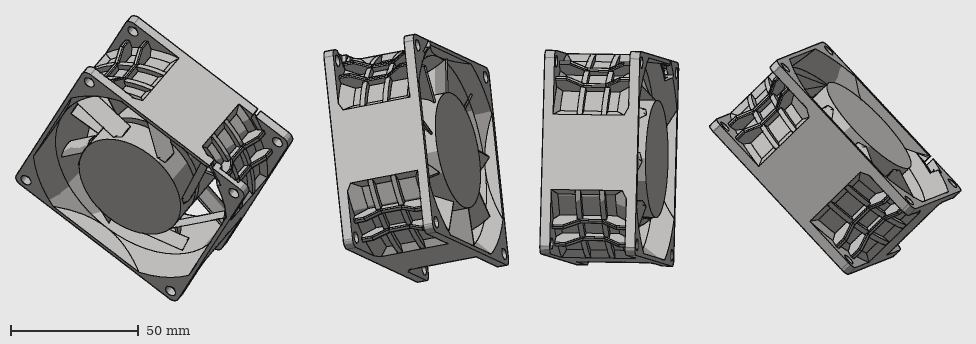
import cadquery as cq
import math

SPIN_ANGLE = 22.0
TIP_ANGLE = -2.8

SIDE = 80.0
DEPTH = 38.0
CORNER_RADIUS = 3.0
FLANGE = 4.0
HOLE_PITCH = 71.5
HOLE_DIAMETER = 4.5

THROAT_RADIUS = 38.4
FLARE_RADIUS = 43.9
FRONT_FLARE = 8.0
REAR_FLARE = 5.2
DUCT_WALL = 2.0
FLARE_SHIFT = 0.9

POCKET_START = 14.8
POCKET_DRAFT = 27.0
POCKET_INSET = 8.3
RIB_RADIUS = 42.5
RIB_WIDTH = 2.1
RIB_PLACES = [-5.2, 4.5]
WING_OFFSET = 4.6
WING_THICKNESS = 2.1
WING_INNER = 39.3
WING_MIDDLE = 42.7
WING_OUTER = 46.2
WING_MIDDLE_HALF = 4.4
WING_OUTER_HALF = 10.6
WING_CHAMFER = 0.4

SLOT_LIP = [21.7, 23.1]
SLOT_INNER_START = [21.7, 37.8]
SLOT_INNER_END = [28.2, 33.4]
SLOT_OUTER_END = [29.8, 34.6]
SLOT_RECESS_END = [25.0, 30.0]
SLOT_RECESS_START = [16.6, 38.4]
FRONT_TAB = 1.0
REAR_TAB = 2.9
NOTCH_DEPTH = 1.7
NOTCH_POINTS = [[25.6, 40.0], [28.3, 33.4], [34.9, 40.0]]

BASE_RADIUS = 23.0
BASE_HEIGHT = 11.5
VANE_COUNT = 7
VANE_FIRST_ANGLE = 20.0
VANE_OFFSET = 22.6
VANE_LEAN = [-0.3, -1.7]
VANE_CHORD = 8.7
VANE_THICKNESS = 0.8
VANE_RUN = 28.1
VANE_START = 6.2
VANE_SLOPE = 0.4

HUB_RADIUS = 23.0
HUB_FRONT = -4.8
ROTOR_REAR = 17.7
BLADE_COUNT = 9
BLADE_FIRST_ANGLE = 12.3
BLADE_RADIUS = 37.7
BLADE_WIDTH = 12.1
BLADE_THICKNESS = 0.8
BLADE_CAMBER = 1.6
BLADE_FRONT = -1.6
BLADE_REAR = 16.1

HALF_SIDE = SIDE / 2
HALF_DEPTH = DEPTH / 2
POCKET_HALF = HALF_DEPTH - FLANGE
DUCT_RADIUS = THROAT_RADIUS + DUCT_WALL


def plate(outline, start, end):
    """Solid with an outline of (x, z) points that spans from y = start to y = end."""
    return cq.Workplane("XZ", origin=(0, start, 0)).polyline(outline).close().extrude(start - end)


def disc(radius, start, end):
    return cq.Workplane("XZ", origin=(0, start, 0)).circle(radius).extrude(start - end)


def turned(body, angle):
    """Turn a body about the fan axis, from +X toward +Z."""
    return body.rotate((0, 0, 0), (0, 1, 0), -angle)


def revolved(outline):
    """Revolve an outline of (radius, y) points about the fan axis."""
    return cq.Workplane("XY").polyline(outline).close().revolve(360, (0, 0, 0), (0, 1, 0))


def duct_volume(radius, shift):
    """Throat with its two flares; shift moves the start of both flares toward the faces."""
    front_slope = (FLARE_RADIUS - THROAT_RADIUS) / FRONT_FLARE
    rear_slope = (FLARE_RADIUS - THROAT_RADIUS) / REAR_FLARE
    front_start = -HALF_DEPTH + FRONT_FLARE + shift
    rear_start = HALF_DEPTH - REAR_FLARE - shift
    return revolved([
        (0, -HALF_DEPTH),
        (radius + front_slope * (front_start + HALF_DEPTH), -HALF_DEPTH),
        (radius, front_start),
        (radius, rear_start),
        (radius + rear_slope * (HALF_DEPTH - rear_start), HALF_DEPTH),
        (0, HALF_DEPTH),
    ])


def make_block():
    block = cq.Workplane("XY").box(SIDE, DEPTH, SIDE)
    return block.edges("|Y").fillet(CORNER_RADIUS)


def corner_pocket():
    """Drafted pocket at the (+X, +Z) corner, down to the outside of the duct."""
    inset = POCKET_INSET
    rise = inset * math.tan(math.radians(POCKET_DRAFT))
    outline = [
        (HALF_SIDE, HALF_SIDE),
        (HALF_SIDE, POCKET_START),
        (HALF_SIDE - inset, POCKET_START + rise),
        (POCKET_START + rise, HALF_SIDE - inset),
        (POCKET_START, HALF_SIDE),
    ]
    pocket = plate(outline, -POCKET_HALF, POCKET_HALF).cut(duct_volume(DUCT_RADIUS, FLARE_SHIFT))
    for place in RIB_PLACES:
        pocket = pocket.cut(disc(RIB_RADIUS, place - RIB_WIDTH / 2, place + RIB_WIDTH / 2))
    return pocket


def wing_pair():
    """Two plates between the flanges, parallel to the diagonal of the (+X, +Z) corner."""
    outline = [
        (WING_INNER, -POCKET_HALF),
        (WING_OUTER, -POCKET_HALF),
        (WING_OUTER, -WING_OUTER_HALF),
        (WING_MIDDLE, -WING_MIDDLE_HALF),
        (WING_MIDDLE, WING_MIDDLE_HALF),
        (WING_OUTER, WING_OUTER_HALF),
        (WING_OUTER, POCKET_HALF),
        (WING_INNER, POCKET_HALF),
    ]
    wing = cq.Workplane("XY").polyline(outline).close().extrude(WING_THICKNESS / 2, both=True)
    beyond_duct = cq.selectors.BoxSelector(
        (WING_MIDDLE - 1, -POCKET_HALF + 1, -WING_THICKNESS),
        (WING_OUTER + 1, POCKET_HALF - 1, WING_THICKNESS),
    )
    wing = wing.faces("|Z").edges(beyond_duct).chamfer(WING_CHAMFER)
    pair = wing.translate((0, 0, WING_OFFSET)).union(wing.translate((0, 0, -WING_OFFSET)))
    return turned(pair, 45)


def cable_slots():
    """Cable slot at the (+X, +Z) corner, with a recess beside it that leaves a thin tab."""
    slot_outline = [
        (SLOT_LIP[0], HALF_SIDE),
        SLOT_INNER_START,
        SLOT_INNER_END,
        SLOT_OUTER_END,
        (SLOT_LIP[1], HALF_SIDE),
    ]
    recess_outline = [SLOT_INNER_START, SLOT_INNER_END, SLOT_RECESS_END, SLOT_RECESS_START]
    front = -POCKET_HALF
    rear = POCKET_HALF
    slots = plate(slot_outline, -HALF_DEPTH, front)
    slots = slots.union(plate(slot_outline, rear, HALF_DEPTH))
    slots = slots.union(plate(recess_outline, -HALF_DEPTH, front - FRONT_TAB))
    slots = slots.union(plate(recess_outline, rear + REAR_TAB, HALF_DEPTH))
    return slots.union(plate(NOTCH_POINTS, front - NOTCH_DEPTH, front))


def make_vane():
    """Curved ribbon that runs past the fan axis and slopes toward the rear as it goes out."""
    rear = -HALF_DEPTH + VANE_CHORD
    half = VANE_THICKNESS / 2
    middle_shift, front_shift = VANE_LEAN
    middle = rear - VANE_CHORD / 2
    ribbon = (
        cq.Workplane("YZ", origin=(-VANE_START, 0, 0))
        .moveTo(rear, VANE_OFFSET)
        .threePointArc((middle, VANE_OFFSET + middle_shift + half), (-HALF_DEPTH, VANE_OFFSET + front_shift))
        .threePointArc((middle, VANE_OFFSET + middle_shift - half), (rear, VANE_OFFSET))
        .close()
    )
    run = cq.Vector(-VANE_RUN, VANE_SLOPE * VANE_RUN, 0)
    vane = cq.Workplane(cq.Solid.extrudeLinear(ribbon.wire().val(), [], run))
    return vane.intersect(disc(THROAT_RADIUS + DUCT_WALL / 2, -HALF_DEPTH, HALF_DEPTH))


def make_frame():
    square = SIDE - 2 * (HALF_SIDE - THROAT_RADIUS)
    opening = duct_volume(THROAT_RADIUS, 0).intersect(cq.Workplane("XY").box(square, DEPTH, square))
    frame = make_block()
    pocket = corner_pocket()
    wings = wing_pair()
    for corner in range(4):
        frame = frame.cut(turned(pocket, 90 * corner))
        frame = frame.union(turned(wings, 90 * corner))
    frame = frame.cut(opening).cut(cable_slots())
    half_pitch = HOLE_PITCH / 2
    for x in (-half_pitch, half_pitch):
        for z in (-half_pitch, half_pitch):
            hole = disc(HOLE_DIAMETER / 2, -HALF_DEPTH, HALF_DEPTH).translate((x, 0, z))
            frame = frame.cut(hole)
    frame = frame.union(disc(BASE_RADIUS, -HALF_DEPTH, -HALF_DEPTH + BASE_HEIGHT))
    vane = make_vane()
    for index in range(VANE_COUNT):
        frame = frame.union(turned(vane, VANE_FIRST_ANGLE + index * 360 / VANE_COUNT))
    return frame


def make_blade():
    """Cambered blade that stands on the hub along +Z, its front edge on the -X side."""
    half_width = BLADE_WIDTH / 2
    half = BLADE_THICKNESS / 2
    middle = (BLADE_FRONT + BLADE_REAR) / 2
    angle = math.atan2(BLADE_REAR - BLADE_FRONT, BLADE_WIDTH)
    across = (-math.sin(angle), math.cos(angle))

    def shifted(x, y, distance):
        return (x + across[0] * distance, y + across[1] * distance)

    front = (-half_width, BLADE_FRONT)
    rear = (half_width, BLADE_REAR)
    blade = (
        cq.Workplane("XY")
        .moveTo(*shifted(*front, half))
        .threePointArc(shifted(0, middle, BLADE_CAMBER + half), shifted(*rear, half))
        .lineTo(*shifted(*rear, -half))
        .threePointArc(shifted(0, middle, BLADE_CAMBER - half), shifted(*front, -half))
        .close()
        .extrude(BLADE_RADIUS)
    )
    return blade.intersect(disc(BLADE_RADIUS, -HALF_DEPTH, HALF_DEPTH))


def make_rotor():
    hub = disc(HUB_RADIUS, HUB_FRONT, ROTOR_REAR)
    blade = make_blade().cut(disc(HUB_RADIUS - 1, -HALF_DEPTH, HALF_DEPTH))
    rotor = hub
    for index in range(BLADE_COUNT):
        rotor = rotor.union(turned(blade, BLADE_FIRST_ANGLE + index * 360 / BLADE_COUNT))
    return rotor


def placed(body):
    spun = body.rotate((0, 0, 0), (0, 1, 0), SPIN_ANGLE)
    return spun.rotate((0, 0, 0), (1, 0, 0), TIP_ANGLE)


frame = placed(make_frame())
rotor = placed(make_rotor())
result = cq.Compound.makeCompound([frame.val(), rotor.val()])